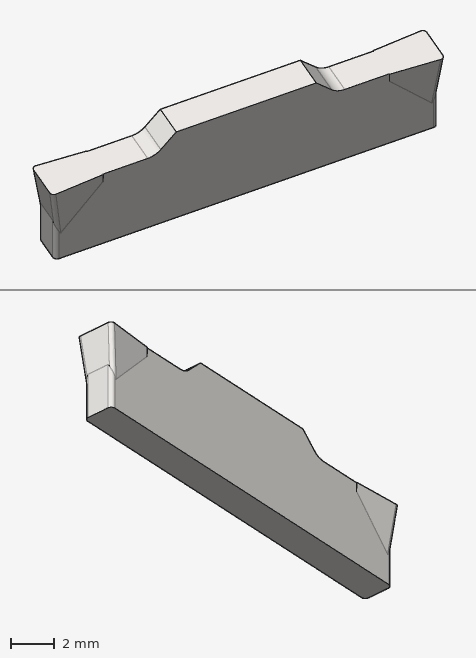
import cadquery as cq

LENGTH = 19.96
HEIGHT = 5.5
EDGE_WIDTH = 2.05

BODY_WIDTH = 1.64
BODY_SETBACK = 0.25
BODY_CORNER_RADIUS = 0.22

SEAT_HEIGHT = 4.45
RAMP_TOP_SETBACK = 6.43
RAMP_FOOT_RADIUS = 0.94

HEAD_LENGTH = 2.71
HEAD_DEPTH = 3.2
HEAD_CORNER_RADIUS = 0.2
FRONT_RELIEF = 0.125
SIDE_RELIEF = 0.065
SIDE_TAPER = 0.071

half_length = LENGTH / 2
sharp_half_width = EDGE_WIDTH / 2 + SIDE_TAPER * HEAD_CORNER_RADIUS


def make_body():
    """Plain bar with rounded upright corners and a raised middle."""
    body_end = half_length - BODY_SETBACK
    ramp_top = half_length - RAMP_TOP_SETBACK
    ramp_foot = ramp_top + HEIGHT - SEAT_HEIGHT
    bar = (
        cq.Workplane("XY")
        .rect(BODY_WIDTH, 2 * body_end)
        .extrude(SEAT_HEIGHT)
        .edges("|Z")
        .fillet(BODY_CORNER_RADIUS)
    )
    raised_middle = (
        cq.Workplane("YZ")
        .polyline([
            (-body_end + BODY_CORNER_RADIUS, 0),
            (body_end - BODY_CORNER_RADIUS, 0),
            (body_end - BODY_CORNER_RADIUS, SEAT_HEIGHT),
            (ramp_foot, SEAT_HEIGHT),
            (ramp_top, HEIGHT),
            (-ramp_top, HEIGHT),
            (-ramp_foot, SEAT_HEIGHT),
            (-body_end + BODY_CORNER_RADIUS, SEAT_HEIGHT),
        ])
        .close()
        .extrude(BODY_WIDTH / 2, both=True)
    )
    for side in (-1, 1):
        foot_edge = cq.selectors.NearestToPointSelector((0, side * ramp_foot, SEAT_HEIGHT))
        raised_middle = raised_middle.edges(foot_edge).fillet(RAMP_FOOT_RADIUS)
    return bar.union(raised_middle)


def head_outline(depth):
    """Corners of the head's horizontal section at a depth below the seat."""
    front_setback = FRONT_RELIEF * depth
    relieved_half_width = sharp_half_width - SIDE_RELIEF * depth
    front_half_width = relieved_half_width - SIDE_TAPER * front_setback
    rear_half_width = relieved_half_width - SIDE_TAPER * HEAD_LENGTH
    front = -half_length + front_setback
    rear = -half_length + HEAD_LENGTH
    return [
        (-front_half_width, front),
        (front_half_width, front),
        (rear_half_width, rear),
        (-rear_half_width, rear),
    ]


def make_head():
    """Head at the -Y end, narrowing downward and toward the middle of the part."""
    head = (
        cq.Workplane("XY", origin=(0, 0, SEAT_HEIGHT))
        .polyline(head_outline(0))
        .close()
        .workplane(offset=-HEAD_DEPTH)
        .polyline(head_outline(HEAD_DEPTH))
        .close()
        .loft(ruled=True)
    )
    middle_depth = HEAD_DEPTH / 2
    for x, y in head_outline(middle_depth)[:2]:
        corner_edge = cq.selectors.NearestToPointSelector((x, y, SEAT_HEIGHT - middle_depth))
        head = head.edges(corner_edge).fillet(HEAD_CORNER_RADIUS)
    return head


head = make_head()
result = make_body().union(head).union(head.mirror("XZ")).clean()